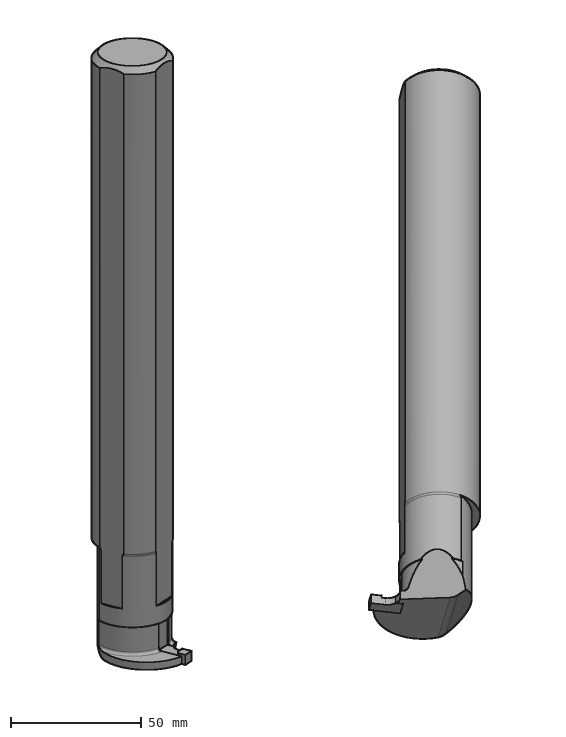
import cadquery as cq
import math

total_length = 250.0
shank_radius = 15.8
neck_radius = 15.5
nose_radius = 15.2
side_flat_x = 14.5
front_flat_y = -14.8
flat_end = 22.5
shank_start = 45.8
nose_height = 14.8
chamfer_length = 2.5
chamfer_width = 2.5
shoulder_length = 1.0

swing_center_x = 6.5
swing_radius = 19.0
disc_thickness = 3.2
root_fillet = 1.2

heel_height = 5.5
heel_foot_x = -4.0
heel_blend_radius = 5.0
back_offset_y = 9.0
back_skew = 0.25
back_lean = 0.38
gullet_radius = 5.0
gullet_x = 21.2

insert_back_x = side_flat_x
blade_end_x = 24.5
insert_front_y = -4.0
shelf_y = 2.2
rake_y = 0.5
tip_x = 26.8
tip_start_x = 22.5
tip_height = 4.2
tip_corner_radius = 1.8

swing_left_x = swing_center_x - swing_radius
cut_size = 4 * swing_radius


def cylinder(radius, bottom, top, x=0.0, y=0.0):
    return cq.Workplane("XY", origin=(x, y, bottom)).circle(radius).extrude(top - bottom)


def box(x_range, y_range, z_range):
    sizes = [high - low for low, high in (x_range, y_range, z_range)]
    corner = (x_range[0], y_range[0], z_range[0])
    return cq.Workplane("XY", origin=corner).box(*sizes, centered=False)


def make_bar():
    """Revolved shank, neck and nose, with the foot fillet flaring onto the disc."""
    fillet_top = disc_thickness + root_fillet
    fillet_mid = root_fillet * (1 - math.sqrt(0.5))
    return (
        cq.Workplane("XZ")
        .moveTo(0, 0)
        .lineTo(nose_radius + root_fillet, 0)
        .lineTo(nose_radius + root_fillet, disc_thickness)
        .threePointArc(
            (nose_radius + fillet_mid, disc_thickness + fillet_mid), (nose_radius, fillet_top)
        )
        .lineTo(nose_radius, nose_height)
        .lineTo(neck_radius, nose_height)
        .lineTo(neck_radius, shank_start - shoulder_length)
        .lineTo(shank_radius, shank_start)
        .lineTo(shank_radius, total_length - chamfer_length)
        .lineTo(shank_radius - chamfer_width, total_length)
        .lineTo(0, total_length)
        .close()
        .revolve(360, (0, 0, 0), (0, 1, 0))
    )


def cut_flats(body):
    """Clamping flats on the +X and -Y sides."""
    heights = (flat_end, total_length)
    full = (-cut_size, cut_size)
    return body.cut(box((side_flat_x, cut_size), full, heights)).cut(
        box(full, (-cut_size, front_flat_y), heights)
    )


def relieve_neck(body):
    """Keep only the part of the neck that lies inside the swing circle."""
    swing = cylinder(swing_radius, 0, shank_start, swing_center_x)
    above = cylinder(swing_radius, shank_start, total_length)
    return body.intersect(swing.union(above))


def heel_cutter():
    """Sloped heel under the -X side, blended into the underside."""
    slope = math.atan2(heel_height, heel_foot_x - swing_left_x)
    tangent = heel_blend_radius * math.tan(slope / 2)
    end_x = heel_foot_x + tangent
    start = (heel_foot_x - tangent * math.cos(slope), tangent * math.sin(slope))
    middle = (
        end_x - heel_blend_radius * math.sin(slope / 2),
        heel_blend_radius * (1 - math.cos(slope / 2)),
    )
    return (
        cq.Workplane("XZ")
        .moveTo(swing_left_x, heel_height)
        .lineTo(*start)
        .threePointArc(middle, (end_x, 0))
        .lineTo(swing_left_x, 0)
        .close()
        .extrude(swing_radius, both=True)
    )


def back_cutter():
    """Half-space behind the leaning relief plane on the +Y side."""
    plane = cq.Plane(
        origin=(0, back_offset_y, 0), xDir=(1, -back_skew, 0), normal=(back_skew, 1, -back_lean)
    )
    return cq.Workplane(plane).rect(2 * cut_size, 2 * cut_size).extrude(cut_size)


def gullet_cutter():
    """Rounded chip gullet, open towards +X and +Y, down to the rake face."""
    gullet_y = rake_y + gullet_radius
    round_end = cylinder(gullet_radius, 0, flat_end, gullet_x, gullet_y)
    run_out = box((gullet_x, cut_size), (rake_y, cut_size), (0, flat_end))
    upper_run = box(
        (gullet_x - gullet_radius, cut_size), (gullet_y, cut_size), (0, flat_end)
    )
    return round_end.union(run_out).union(upper_run)


def make_holder():
    body = relieve_neck(cut_flats(make_bar()))
    body = body.union(cylinder(swing_radius, 0, disc_thickness, swing_center_x))
    for cutter in (heel_cutter(), back_cutter(), gullet_cutter()):
        body = body.cut(cutter)
    seat = box((insert_back_x, cut_size), (insert_front_y, shelf_y), (0, nose_height))
    return body.cut(seat)


def make_insert():
    """Blade hollowed by the gullet, with a flat rake face and a raised, rounded cutting tip."""
    blade = box((insert_back_x, blade_end_x), (insert_front_y, shelf_y), (0, disc_thickness))
    tip = (
        box((tip_start_x, tip_x), (insert_front_y, rake_y), (0, tip_height))
        .edges("|Z and <X and <Y")
        .fillet(tip_corner_radius)
    )
    return blade.cut(gullet_cutter()).union(tip)


holder = make_holder()
insert = make_insert()
result = cq.Compound.makeCompound([holder.val(), insert.val()])